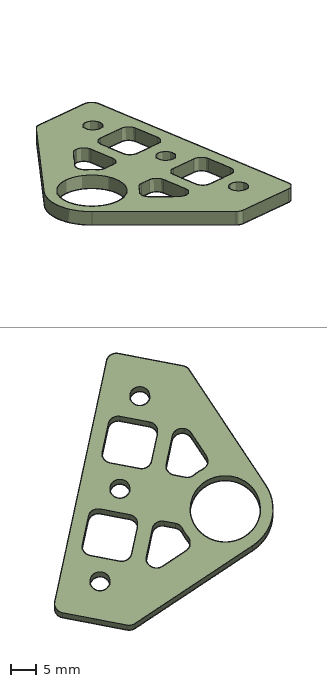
import cadquery as cq
import math

width = 56.05
height = 39.0
thickness = 3.0
corner_radius = 2.0
shoulder_depth = 16.0
nose_radius = 9.5
nose_y = nose_radius - height

bore_diameter = 14.0
pin_diameter = 4.0
pin_spacing = 20.0
pin_depth = 8.0

window_size = 10.05
window_spacing = 20.0
window_radius = 2.0
lower_window_top = -shoulder_depth
slanted_rim = 6.8

shoulder_x = width / 2
nose_drop = -shoulder_depth - nose_y
nose_distance = math.hypot(shoulder_x, nose_drop)
slant_angle = math.atan2(nose_drop, shoulder_x) + math.asin(nose_radius / nose_distance)
tangent_x = nose_radius * math.sin(slant_angle)
tangent_y = nose_y - nose_radius * math.cos(slant_angle)


def make_plate():
    plate = (
        cq.Workplane("XY")
        .moveTo(-shoulder_x, 0)
        .lineTo(shoulder_x, 0)
        .lineTo(shoulder_x, -shoulder_depth)
        .lineTo(tangent_x, tangent_y)
        .threePointArc((0, -height), (-tangent_x, tangent_y))
        .lineTo(-shoulder_x, -shoulder_depth)
        .close()
        .extrude(thickness)
    )
    corners = plate.edges("|Z and (>X or <X)")
    return corners.fillet(corner_radius)


def make_upper_windows():
    return (
        cq.Workplane("XY")
        .pushPoints([(side * window_spacing / 2, -pin_depth) for side in (-1, 1)])
        .rect(window_size, window_size)
        .extrude(thickness)
        .edges("|Z")
        .fillet(window_radius)
    )


def slanted_edge_y(x):
    """Height of the left lower window's slanted edge at x."""
    side_y = -shoulder_depth - (x + shoulder_x) * math.tan(slant_angle)
    return side_y + slanted_rim / math.cos(slant_angle)


def make_left_lower_window():
    outer_x = -(window_spacing + window_size) / 2
    inner_x = -(window_spacing - window_size) / 2
    blank = (
        cq.Workplane("XY")
        .moveTo(outer_x, lower_window_top)
        .lineTo(inner_x, lower_window_top)
        .lineTo(inner_x, slanted_edge_y(inner_x))
        .lineTo(outer_x, slanted_edge_y(outer_x))
        .close()
        .extrude(thickness)
    )
    bore_rim = cq.Workplane("XY").center(0, nose_y).circle(nose_radius).extrude(thickness)
    return blank.cut(bore_rim).edges("|Z").fillet(window_radius)


def make_holes():
    bore = cq.Workplane("XY").center(0, nose_y).circle(bore_diameter / 2).extrude(thickness)
    pins = (
        cq.Workplane("XY")
        .pushPoints([(i * pin_spacing, -pin_depth) for i in (-1, 0, 1)])
        .circle(pin_diameter / 2)
        .extrude(thickness)
    )
    return bore.union(pins)


left_lower_window = make_left_lower_window()
result = (
    make_plate()
    .cut(make_holes())
    .cut(make_upper_windows())
    .cut(left_lower_window)
    .cut(left_lower_window.mirror("YZ"))
)